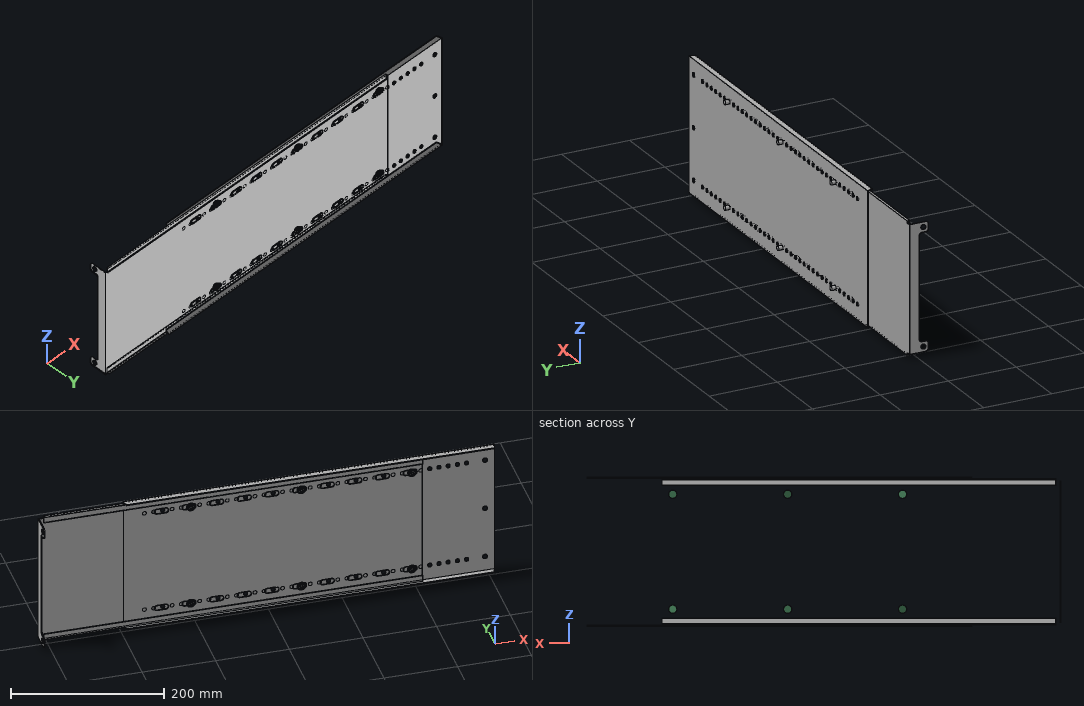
import cadquery as cq

SHEET = 1.5
LEFT_END = -310.0
RIGHT_END = 310.0
FRONT_LIMIT = -18.0
BACK_LIMIT = 18.0

BASE_HALF_HEIGHT = 97.0
BASE_LENGTH = 504.0
BASE_DEPTH = 8.5
BASE_BACK = 12.0
BASE_END_TAPER = 2.5
BASE_LEFT = RIGHT_END - BASE_LENGTH
BASE_WEB_FRONT = BASE_BACK - SHEET
BASE_FRONT = BASE_BACK - BASE_DEPTH

BOLT_PITCH = 150.0
GRID = BOLT_PITCH / 12
ROW_HEIGHT = 75.0
SLOT_PITCH = BOLT_PITCH / 4
SLOT_COUNT = 10
BOLT_SLOTS = (1, 5, 9)
LAST_BOLT_X = 197.0
FIRST_SLOT_X = LAST_BOLT_X - (SLOT_COUNT - 1) * SLOT_PITCH
SMALL_HOLE_COUNT = 36
FIRST_SMALL_HOLE_X = FIRST_SLOT_X - 2 * GRID
END_HOLE_X = LAST_BOLT_X + 8 * GRID
SMALL_HOLE_DIAMETER = 5.25
END_HOLE_DIAMETER = 6.0

TRAY_RIGHT = 211.5
TRAY_HALF_HEIGHT = 95.5
HEM_LEFT = -303.0
HEM_DEPTH = 4.0
HEM_INNER_HEIGHT = 87.0
TRAY_BACK = BASE_WEB_FRONT
TRAY_WEB_FRONT = TRAY_BACK - SHEET
END_PLATE_HALF_HEIGHT = 92.5
END_PLATE_FRONT = -4.65
EAR_HEIGHT = 15.0
EAR_CORNER_RADIUS = 4.0
INNER_CORNER_RADIUS = 4.0
EAR_HOLE_DIAMETER = 7.0
EAR_HOLE_Y = -10.5
EAR_HOLE_Z = 85.0
SLOT_LENGTH = 19.0
SLOT_HEIGHT = 7.5
SLOT_SHIFT = -2.2

BOLT_DIAMETER = 6.0
HEAD_FLANGE_DIAMETER = 11.0
HEAD_FLANGE_HEIGHT = 1.0
HEAD_DIAMETER = 8.0
HEAD_HEIGHT = 3.0
SOCKET_WIDTH = 4.5
SOCKET_DEPTH = 2.0

slot_xs = [FIRST_SLOT_X + i * SLOT_PITCH for i in range(SLOT_COUNT)]
bolt_xs = [slot_xs[i] for i in BOLT_SLOTS]
rows = (-ROW_HEIGHT, ROW_HEIGHT)


def box(x0, x1, y0, y1, z0, z1):
    return cq.Workplane("XY").box(x1 - x0, y1 - y0, z1 - z0, centered=False).translate((x0, y0, z0))


def plane_facing_front(y):
    """Work plane at depth y with local X, Y along global X, Z; extrusion goes towards -Y."""
    return cq.Workplane("XZ", origin=(0, y, 0))


def make_base():
    """Channel with its flanges facing forwards and rows of holes in its web."""
    channel = box(BASE_LEFT, RIGHT_END, BASE_FRONT, BASE_BACK, -BASE_HALF_HEIGHT, BASE_HALF_HEIGHT)
    inner_height = BASE_HALF_HEIGHT - SHEET
    channel = channel.cut(box(BASE_LEFT, RIGHT_END, BASE_FRONT, BASE_WEB_FRONT, -inner_height, inner_height))
    tapered_outline = (
        cq.Workplane("XY", origin=(0, 0, -BASE_HALF_HEIGHT))
        .polyline([
            (BASE_LEFT, BASE_BACK),
            (RIGHT_END, BASE_BACK),
            (RIGHT_END, BASE_WEB_FRONT),
            (RIGHT_END - BASE_END_TAPER, BASE_FRONT),
            (BASE_LEFT + BASE_END_TAPER, BASE_FRONT),
            (BASE_LEFT, BASE_WEB_FRONT),
        ])
        .close()
        .extrude(2 * BASE_HALF_HEIGHT)
    )
    channel = channel.intersect(tapered_outline)

    row_xs = [FIRST_SMALL_HOLE_X + i * GRID for i in range(SMALL_HOLE_COUNT)]
    small_xs = [x for x in row_xs if min(abs(x - bolt_x) for bolt_x in bolt_xs) > GRID / 2]
    hole_groups = (
        (SMALL_HOLE_DIAMETER, [(x, z) for x in small_xs for z in rows]),
        (BOLT_DIAMETER, [(x, z) for x in bolt_xs for z in rows]),
        (END_HOLE_DIAMETER, [(END_HOLE_X, z) for z in (*rows, 0)]),
    )
    for diameter, points in hole_groups:
        holes = plane_facing_front(BASE_BACK).pushPoints(points).circle(diameter / 2).extrude(SHEET)
        channel = channel.cut(holes)
    return channel


def make_end_plate():
    """Flange bent forwards at the left end, with a holed ear at its top and bottom."""
    ear_root = END_PLATE_HALF_HEIGHT - EAR_HEIGHT
    plate = box(
        LEFT_END, LEFT_END + SHEET, END_PLATE_FRONT, TRAY_BACK, -END_PLATE_HALF_HEIGHT, END_PLATE_HALF_HEIGHT
    )
    ear = box(LEFT_END, LEFT_END + SHEET, FRONT_LIMIT, TRAY_BACK, ear_root, END_PLATE_HALF_HEIGHT)
    ear = ear.edges("|X and <Y").fillet(EAR_CORNER_RADIUS)
    plate = plate.union(ear).union(ear.mirror("XY"))
    around_inner_corners = cq.selectors.BoxSelector(
        (LEFT_END - SHEET, END_PLATE_FRONT - SHEET, -ear_root - SHEET),
        (LEFT_END + 2 * SHEET, END_PLATE_FRONT + SHEET, ear_root + SHEET),
    )
    plate = plate.edges(around_inner_corners).edges("|X").fillet(INNER_CORNER_RADIUS)
    ear_holes = (
        cq.Workplane("YZ", origin=(LEFT_END, 0, 0))
        .pushPoints([(EAR_HOLE_Y, -EAR_HOLE_Z), (EAR_HOLE_Y, EAR_HOLE_Z)])
        .circle(EAR_HOLE_DIAMETER / 2)
        .extrude(SHEET)
    )
    return plate.cut(ear_holes)


def make_hem(side):
    """U-shaped long edge of the tray; side is 1 for the upper edge and -1 for the lower one."""
    hem_front = TRAY_BACK - HEM_DEPTH
    outline = [
        (TRAY_BACK, HEM_INNER_HEIGHT),
        (TRAY_BACK, TRAY_HALF_HEIGHT),
        (hem_front, TRAY_HALF_HEIGHT),
        (hem_front, HEM_INNER_HEIGHT),
        (hem_front + SHEET, HEM_INNER_HEIGHT),
        (hem_front + SHEET, TRAY_HALF_HEIGHT - SHEET),
        (TRAY_WEB_FRONT, TRAY_HALF_HEIGHT - SHEET),
        (TRAY_WEB_FRONT, HEM_INNER_HEIGHT),
    ]
    return (
        cq.Workplane("YZ", origin=(HEM_LEFT, 0, 0))
        .polyline([(y, side * z) for y, z in outline])
        .close()
        .extrude(TRAY_RIGHT - HEM_LEFT)
    )


def make_tray():
    """Sheet lying against the base web, with hemmed long edges, an end plate and bolt slots."""
    web = box(LEFT_END, TRAY_RIGHT, TRAY_WEB_FRONT, TRAY_BACK, -END_PLATE_HALF_HEIGHT, END_PLATE_HALF_HEIGHT)
    tray = web.union(make_end_plate()).union(make_hem(1)).union(make_hem(-1))
    slots = (
        plane_facing_front(TRAY_BACK)
        .pushPoints([(x + SLOT_SHIFT, z) for x in slot_xs for z in rows])
        .slot2D(SLOT_LENGTH, SLOT_HEIGHT)
        .extrude(SHEET)
    )
    return tray.cut(slots)


def make_bolt(x, z):
    """Flanged bolt with a hexagonal socket; its head clamps the tray and its shank passes the base."""
    shank = (
        plane_facing_front(BACK_LIMIT)
        .center(x, z)
        .circle(BOLT_DIAMETER / 2)
        .extrude(BACK_LIMIT - TRAY_WEB_FRONT)
    )
    head_seat = plane_facing_front(TRAY_WEB_FRONT).center(x, z)
    flange = head_seat.circle(HEAD_FLANGE_DIAMETER / 2).extrude(HEAD_FLANGE_HEIGHT)
    head = head_seat.circle(HEAD_DIAMETER / 2).extrude(HEAD_HEIGHT)
    socket = (
        plane_facing_front(TRAY_WEB_FRONT - HEAD_HEIGHT + SOCKET_DEPTH)
        .center(x, z)
        .polygon(6, SOCKET_WIDTH)
        .extrude(SOCKET_DEPTH)
    )
    return shank.union(flange).union(head).cut(socket)


base = make_base()
tray = make_tray()
bolts = [make_bolt(x, z) for x in bolt_xs for z in rows]

result = cq.Compound.makeCompound([base.val(), tray.val(), *[bolt.val() for bolt in bolts]])